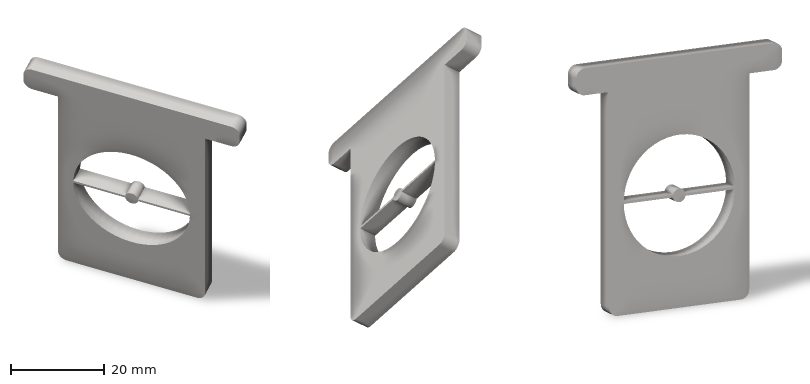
import cadquery as cq

height = 56.0
head_width = 50.0
head_height = 6.0
body_width = 34.0
thickness = 4.0
corner_radius = 2.0
hole_diameter = 27.0
hole_height = 25.0
pin_diameter = 3.0
web_thickness = 0.55

hole_radius = hole_diameter / 2
body_height = height - head_height


def block(width, block_height, bottom):
    """Upright block centred on X and Y, with its base at Z = bottom."""
    return (
        cq.Workplane("XY")
        .workplane(offset=bottom)
        .box(width, thickness, block_height, centered=(True, True, False))
    )


def disc(diameter):
    """Full-thickness cylinder along Y on the hole axis."""
    return (
        cq.Workplane("XZ", origin=(0, thickness / 2, hole_height))
        .circle(diameter / 2)
        .extrude(thickness)
    )


def make_plate():
    """T-shaped plate with rounded outer corners and a round window."""
    head = block(head_width, head_height, body_height).edges("|Y").fillet(corner_radius)
    body = block(body_width, body_height, 0).edges("|Y").edges("<Z").fillet(corner_radius)
    return head.union(body).cut(disc(hole_diameter))


def make_pin():
    """Round pin in the middle of the window."""
    return disc(pin_diameter)


def make_web(side):
    """Thin web from the pin to the window wall; side is -1 for left, +1 for right."""
    strip = cq.Workplane("XY", origin=(side * hole_radius / 2, 0, hole_height)).box(
        hole_radius, thickness, web_thickness
    )
    return strip.intersect(disc(hole_diameter)).cut(disc(pin_diameter))


plate = make_plate()
pin = make_pin()
webs = [make_web(side) for side in (-1, 1)]

bodies = [plate, pin, *webs]
result = cq.Compound.makeCompound([body.solids().val() for body in bodies])